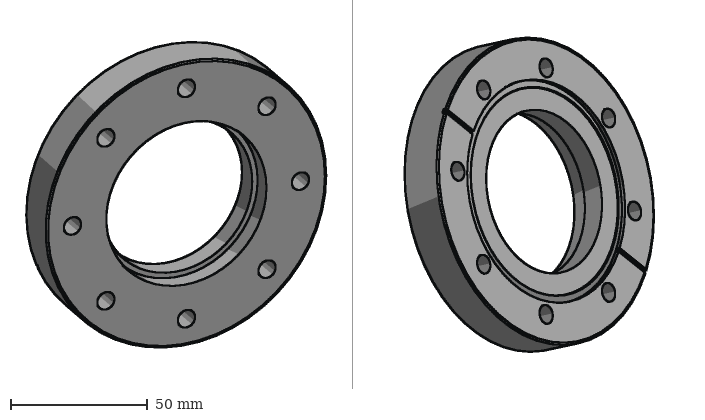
import cadquery as cq
import math

outer_radius = 56.8
thickness = 17.3
rim_chamfer_length = 0.5
rim_chamfer_height = 0.8
bore_radius = 30.2

socket_radius = 32.4
socket_depth = 7.5

recess_radius = 41.2
knife_radius = 38.6
knife_inner_radius = 38.4
knife_tip_depth = 0.7
knife_slope = 20.0
inner_face_depth = 1.0

bolt_count = 8
bolt_circle_radius = 46.1
bolt_hole_diameter = 6.9

groove_width = 1.4
groove_depth = 1.4
groove_angle = 180.0 / bolt_count

front_x = -thickness / 2
back_x = thickness / 2


def flange_body():
    """Revolve the half section (x, radius) about the X axis."""
    slope_drop = (recess_radius - knife_radius) * math.tan(math.radians(knife_slope))
    section = [
        (back_x - socket_depth, bore_radius),
        (back_x - socket_depth, socket_radius),
        (back_x, socket_radius),
        (back_x, outer_radius - rim_chamfer_height),
        (back_x - rim_chamfer_length, outer_radius),
        (front_x + rim_chamfer_length, outer_radius),
        (front_x, outer_radius - rim_chamfer_height),
        (front_x, recess_radius),
        (front_x + knife_tip_depth + slope_drop, recess_radius),
        (front_x + knife_tip_depth, knife_radius),
        (front_x + inner_face_depth, knife_inner_radius),
        (front_x + inner_face_depth, bore_radius),
    ]
    return cq.Workplane("XY").polyline(section).close().revolve(360, (0, 0, 0), (1, 0, 0))


def bolt_holes():
    return (
        cq.Workplane("YZ", origin=(front_x, 0, 0))
        .polarArray(bolt_circle_radius, 0, 360, bolt_count)
        .circle(bolt_hole_diameter / 2)
        .extrude(thickness)
    )


def leak_check_grooves():
    """Full-width bar minus the recess, leaving two opposite grooves in the rim."""
    face = cq.Workplane("YZ", origin=(front_x, 0, 0))
    bar = face.rect(2 * outer_radius, groove_width).extrude(groove_depth)
    bar = bar.rotate((0, 0, 0), (1, 0, 0), groove_angle)
    return bar.cut(face.circle(recess_radius).extrude(groove_depth))


result = flange_body().cut(bolt_holes()).cut(leak_check_grooves())